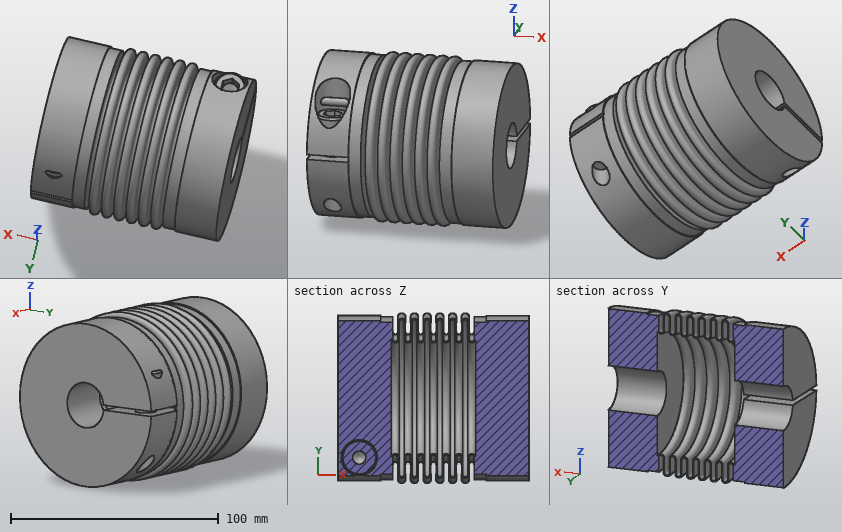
import cadquery as cq
import math

length = 92.0
hub_width = 20.5
collar_width = 6.0
hub_diameter = 79.7
collar_diameter = 78.5
bore_diameter = 22.1

wall = 0.78
bellows_diameter = 82.0
valley_diameter = 61.5
ring_count = 6
bellows_start = hub_width + collar_width
bellows_length = length - 2 * bellows_start
pitch = (bellows_length + wall) / (ring_count + 0.5)
ring_thickness = pitch / 2 + wall
valley_width = pitch - ring_thickness

spigot_diameter = collar_diameter - 2 * wall
spigot_end = bellows_start - wall

slit_width = 2.5
clamp_x = hub_width / 2
clamp_offset = 28.6
clearance_diameter = 10.5
thread_diameter = 8.5
counterbore_diameter = 17.0
seat_z = 9.2

shank_diameter = 10.0
shank_bottom_z = -18.4
head_diameter = 16.0
head_height = 10.0
head_chamfer = 1.0
socket_flats = 8.0
socket_depth = 5.0
socket_tip_depth = 2.3
pin_diameter = 4.0
pin_length = 15.6
pin_y = -21.8
pin_z = 23.0


def clamp_cylinder(diameter, bottom_z, top_z):
    """Vertical cylinder on the clamp screw axis of the -X hub."""
    return (
        cq.Workplane("XY", origin=(clamp_x, -clamp_offset, bottom_z))
        .circle(diameter / 2)
        .extrude(top_z - bottom_z)
    )


def half_turn(shape):
    """Carry a feature of the -X hub to the +X hub, half a turn about the vertical."""
    return shape.rotate((length / 2, 0, 0), (length / 2, 0, 1), 180)


def make_bellows_form(inset):
    """Solid of revolution with the bellows outline, moved inward by inset."""
    crest_r = bellows_diameter / 2 - inset
    root_r = valley_diameter / 2 - inset
    collar_r = collar_diameter / 2 - inset
    crest_side_r = (bellows_diameter - ring_thickness) / 2
    root_side_r = (valley_diameter + valley_width) / 2
    collar_end = bellows_start - inset

    outline = (
        cq.Workplane("XY")
        .moveTo(hub_width, 0)
        .lineTo(hub_width, collar_r)
        .lineTo(collar_end, collar_r)
    )
    first_valley_x = (length - ring_count * pitch) / 2
    valley_half = valley_width / 2 + inset
    ring_half = ring_thickness / 2 - inset
    for index in range(ring_count + 1):
        valley_x = first_valley_x + index * pitch
        outline = outline.lineTo(valley_x - valley_half, root_side_r).threePointArc(
            (valley_x, root_r), (valley_x + valley_half, root_side_r)
        )
        if index < ring_count:
            ring_x = valley_x + pitch / 2
            outline = outline.lineTo(ring_x - ring_half, crest_side_r).threePointArc(
                (ring_x, crest_r), (ring_x + ring_half, crest_side_r)
            )
    return (
        outline.lineTo(length - collar_end, collar_r)
        .lineTo(length - hub_width, collar_r)
        .lineTo(length - hub_width, 0)
        .close()
        .revolve(360, (0, 0, 0), (1, 0, 0))
    )


def make_bellows():
    """Thin bellows with its end collars, open at both ends."""
    return make_bellows_form(0).cut(make_bellows_form(wall))


def make_hub():
    """The -X hub with spigot, bore, slit and screw holes, before the counterbore."""
    blank = (
        cq.Workplane("XY")
        .moveTo(0, bore_diameter / 2)
        .lineTo(0, hub_diameter / 2)
        .lineTo(hub_width, hub_diameter / 2)
        .lineTo(hub_width, spigot_diameter / 2)
        .lineTo(spigot_end, spigot_diameter / 2)
        .lineTo(spigot_end, bore_diameter / 2)
        .close()
        .revolve(360, (0, 0, 0), (1, 0, 0))
    )
    blank = blank.rotate((0, 0, 0), (1, 0, 0), 180)
    slit = cq.Workplane("XY").box(
        spigot_end, hub_diameter / 2, slit_width, centered=(False, False, True)
    ).translate((0, -hub_diameter / 2, 0))
    return (
        blank.cut(slit)
        .cut(clamp_cylinder(thread_diameter, -hub_diameter / 2, 0))
        .cut(clamp_cylinder(clearance_diameter, 0, seat_z))
    )


def make_screw():
    """Socket head clamp screw, head up."""
    head_top_z = seat_z + head_height
    socket_bottom = cq.Vector(clamp_x, -clamp_offset, head_top_z - socket_depth)
    head = clamp_cylinder(head_diameter, seat_z, head_top_z).faces(">Z").chamfer(head_chamfer)
    corner_radius = socket_flats / 2 / math.cos(math.pi / 6)
    corners = [
        (corner_radius * math.sin(i * math.pi / 3), corner_radius * math.cos(i * math.pi / 3))
        for i in range(6)
    ]
    socket = (
        cq.Workplane("XY", origin=socket_bottom.toTuple())
        .polyline(corners)
        .close()
        .extrude(socket_depth)
    )
    tip = cq.Solid.makeCone(
        socket_flats / 2, 0, socket_tip_depth, pnt=socket_bottom, dir=cq.Vector(0, 0, -1)
    )
    shank = clamp_cylinder(shank_diameter, shank_bottom_z, seat_z)
    return head.cut(socket).cut(cq.Workplane(tip)).union(shank)


def make_pin():
    """Cross pin that keeps the screw head in its counterbore."""
    return (
        cq.Workplane("YZ", origin=(clamp_x - pin_length / 2, pin_y, pin_z))
        .circle(pin_diameter / 2)
        .extrude(pin_length)
    )


hub = make_hub()
screw = make_screw()
counterbore = clamp_cylinder(counterbore_diameter, seat_z, hub_diameter / 2)

clamped_hub = hub.cut(counterbore).union(screw)
open_hub = clamped_hub.union(make_pin())
plug = half_turn(hub.intersect(counterbore))

result = (
    make_bellows()
    .union(open_hub)
    .union(half_turn(clamped_hub))
    .union(plug, clean=False)
)